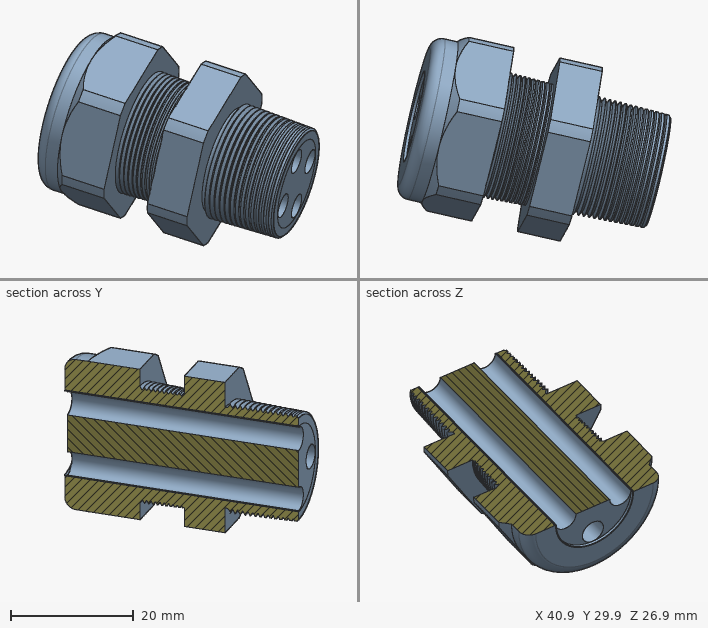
import cadquery as cq
import math


total_length = 40.9
collar_end = 4.17
cap_hex_end = 13.15
body_hex_start = 20.9
body_hex_end = 28.0

across_flats = 26.9
across_corners = 29.9
flat_radius = across_flats / 2
corner_radius = across_corners / 2
dome_radius = 2.0

gap_pitch = 0.765
gap_ridge_count = 11
gap_root_radius = 9.8
gap_last_crest_radius = 10.15

end_pitch = 0.885
end_ridge_count = 14
end_root_radius = 9.08
end_last_crest_radius = 9.45
end_first_crest = 28.85
neck_radius = 9.0

bore_radius = 7.6
recess_radius = 7.45
recess_depth = 0.5
cable_hole_radius = 2.05
cable_hole_offset = 5.35
cable_hole_count = 4


def cylinder(radius, start, end):
    """Cylinder on the X axis between two positions."""
    return cq.Workplane("YZ").workplane(offset=start).circle(radius).extrude(end - start)


def hexagon(start, end):
    """Hexagonal prism with its corners turned down."""
    sharp_corner_diameter = across_flats / math.cos(math.radians(30))
    prism = cq.Workplane("YZ").workplane(offset=start).polygon(6, sharp_corner_diameter).extrude(end - start)
    return prism.intersect(cylinder(corner_radius, start, end))


def revolved(profile):
    """Turn a closed profile, drawn as (x, radius), around the X axis."""
    return profile.close().revolve(360, (0, 0, 0), (1, 0, 0))


def ridge_points(first_crest, pitch, root_radius, last_crest_radius, ridge_count):
    """Points along a row of ridges, from the sharp first crest to the root after the last one."""
    sharp_radius = root_radius + pitch * math.cos(math.radians(30))
    points = [(first_crest, sharp_radius), (first_crest + pitch / 2, root_radius)]
    for i in range(1, ridge_count):
        center = first_crest + i * pitch
        crest_cut = (sharp_radius - last_crest_radius) * i / (ridge_count - 1)
        half_crest = crest_cut * math.tan(math.radians(30))
        crest_radius = sharp_radius - crest_cut
        points.append((center - half_crest, crest_radius))
        points.append((center + half_crest, crest_radius))
        points.append((center + pitch / 2, root_radius))
    return points


def cap():
    """Domed round collar and the hexagon behind it, chamfered at 45 degrees down to the collar."""
    collar = cylinder(flat_radius, 0, collar_end).faces("<X").edges().fillet(dome_radius)
    chamfer_end = collar_end + corner_radius - flat_radius
    envelope = revolved(
        cq.Workplane("XY")
        .moveTo(collar_end, 0)
        .lineTo(collar_end, flat_radius)
        .lineTo(chamfer_end, corner_radius)
        .lineTo(cap_hex_end, corner_radius)
        .lineTo(cap_hex_end, 0)
    )
    return collar.union(hexagon(collar_end, cap_hex_end).intersect(envelope))


def gap_thread():
    """Threaded stretch from a crest at the cap to a last ridge that runs into the body hexagon."""
    ridges = ridge_points(cap_hex_end, gap_pitch, gap_root_radius, gap_last_crest_radius, gap_ridge_count)
    thread_end = ridges[-1][0]
    return revolved(cq.Workplane("XY").polyline([(cap_hex_end, 0), *ridges, (thread_end, 0)]))


def end_thread():
    """Threaded end, with a concave neck rising from the hexagon to the first crest."""
    ridges = ridge_points(end_first_crest, end_pitch, end_root_radius, end_last_crest_radius, end_ridge_count)
    first_crest_radius = ridges[0][1]
    neck_length = end_first_crest - body_hex_end
    neck_rise = first_crest_radius - neck_radius
    neck_middle = (
        body_hex_end + neck_length * math.sin(math.radians(45)),
        neck_radius + neck_rise * (1 - math.cos(math.radians(45))),
    )
    return revolved(
        cq.Workplane("XY")
        .moveTo(body_hex_end, 0)
        .lineTo(body_hex_end, neck_radius)
        .threePointArc(neck_middle, ridges[0])
        .polyline(ridges[1:], includeCurrent=True)
        .lineTo(total_length, end_root_radius)
        .lineTo(total_length, 0)
    )


def gland_body():
    """Cap, threads and middle hexagon in one piece, bored through."""
    body = cap().union(gap_thread()).union(hexagon(body_hex_start, body_hex_end)).union(end_thread())
    return body.cut(cylinder(bore_radius, 0, total_length))


def sealing_insert():
    """Plug filling the bore, with a shallow recess in its front and four cable holes through it."""
    plug = cylinder(bore_radius, 0, total_length).cut(cylinder(recess_radius, 0, recess_depth))
    cable_holes = (
        cq.Workplane("YZ")
        .polarArray(cable_hole_offset, 0, 360, cable_hole_count)
        .circle(cable_hole_radius)
        .extrude(total_length)
    )
    return plug.cut(cable_holes)


gland = gland_body()
insert = sealing_insert()

result = cq.Compound.makeCompound([gland.val(), insert.val()])